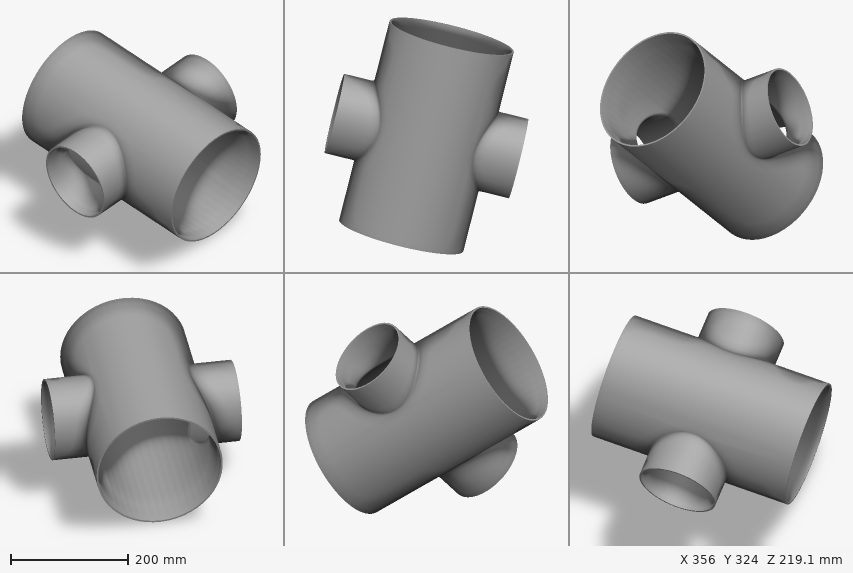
import cadquery as cq

run_length = 356.0
run_diameter = 219.1
branch_span = 324.0
branch_diameter = 139.7
wall = 3.0

outer_saddle_radius = 3.0
inner_saddle_radius = outer_saddle_radius + wall


def cylinder(plane, diameter, length):
    """Solid cylinder centred on the origin, along the normal of the plane."""
    return cq.Workplane(plane).circle(diameter / 2).extrude(length / 2, both=True)


def is_saddle(edge):
    """True for the curves where the branch surface meets the run surface."""
    return edge.geomType() not in ("LINE", "CIRCLE")


def solid_cross(run_dia, branch_dia, saddle_radius):
    """Run and branch cylinders joined, with rounded saddle curves."""
    run = cylinder("YZ", run_dia, run_length)
    branches = cylinder("XZ", branch_dia, branch_span)
    body = run.union(branches)
    saddles = [edge for edge in body.edges().vals() if is_saddle(edge)]
    return body.newObject(saddles).fillet(saddle_radius)


outside = solid_cross(run_diameter, branch_diameter, outer_saddle_radius)
inside = solid_cross(run_diameter - 2 * wall, branch_diameter - 2 * wall, inner_saddle_radius)

result = outside.cut(inside)